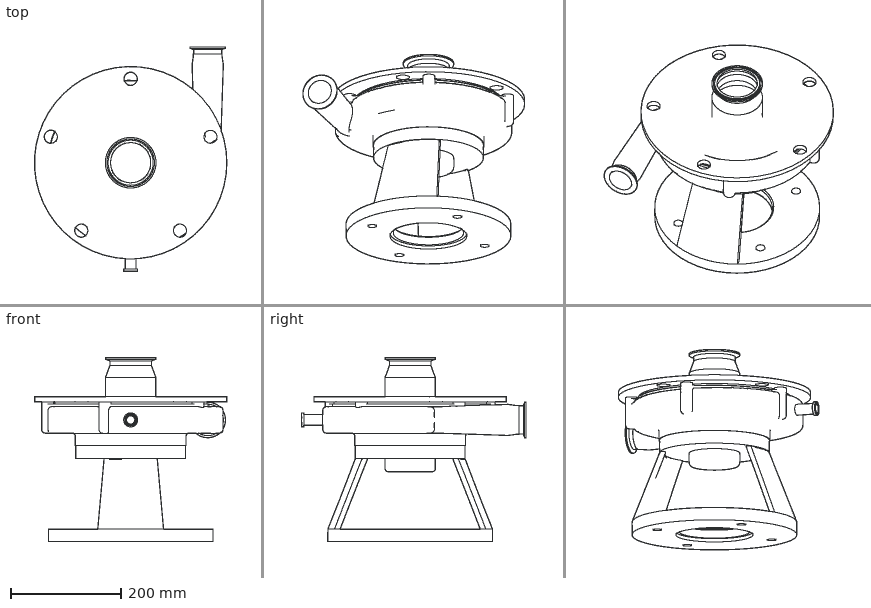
import cadquery as cq
import math

base_top = 23.0
motor_bottom = 127.0
bracket_top = 151.0
bearing_step = 174.5
volute_bottom = 197.0
volute_top = 245.5
rim_top = 250.5
flange_bottom = 254.0
flange_top = 263.5
overall_height = 334.5
volute_middle = (volute_bottom + volute_top) / 2

base_radius = 150.0
base_bore_radius = 64.0
base_bore_chamfer = 2.5
base_recess_radius = 70.0
base_recess_depth = 6.0
base_bolt_circle_radius = 115.0
base_bolt_diameter = 16.0
base_bolt_count = 4
base_bolt_first_angle = 45.0

leg_top_radius = 100.0
leg_shell_width = 11.0
leg_half_width_bottom = 60.0
leg_half_width_top = 48.5
leg_edge_fillet = 3.0

bearing_lower_radius = 100.0
bearing_upper_radius = 101.0
bearing_fillet = 5.0
hub_radius = 46.0
hub_fillet = 6.0

volute_start_radius = 149.0
volute_growth_per_degree = 0.1
spiral_start_angle = 170.0
spiral_end_angle = 375.0
spiral_steps = 12
volute_edge_fillet = 7.0
rim_bottom = 238.0
rim_radius = 141.0
neck_radius = 138.5

post_count = 5
post_first_angle = 36.0
post_circle_radius = 151.0
post_radius = 11.0
outer_post_angles = (108.0, 180.0, 252.0)
post_wall_fillet = 3.0
post_rim_fillet = 10.0
corner_tolerance = 0.5

flange_radius = 175.0
flange_bolt_circle_radius = 152.5
flange_bolt_diameter = 23.5
flange_bolt_count = 5
flange_bolt_first_angle = 18.0
dish_rim_radius = 131.5
dish_floor_radius = 92.0
dish_wall_angle = 46.5
dish_rim_fillet = 5.0
dish_floor_fillet = 14.5
dish_floor = 230.5
inlet_root_fillet = 20.0
inlet_root_top = dish_floor + inlet_root_fillet

inlet_radius = 46.0
inlet_cone_bottom = 298.5
inlet_cone_top = 320.0
inlet_neck_radius = 38.0
inlet_ferrule_thickness = 3.0
inlet_ferrule_flare = 3.0
inlet_groove_inner_radius = 41.0
inlet_groove_outer_radius = 43.2
inlet_groove_depth = 1.0
inlet_bore_radius = 36.5
inlet_bore_wide_radius = 43.0
inlet_bore_narrow_end = 306.0
inlet_bore_wide_start = 288.0

outlet_x = 140.0
outlet_end = 210.5
outlet_ferrule_radius = 32.5
outlet_ferrule_thickness = 2.5
outlet_ferrule_flare = 2.5
outlet_neck_radius = 26.4
outlet_neck_start = 193.0
outlet_neck_end = 198.0
outlet_collar_radius = 25.8
outlet_shoulder_end = 186.0
outlet_shoulder_radius = 27.4
outlet_pipe_end = 178.0
outlet_pipe_end_radius = 28.6
outlet_pipe_start_radius = 22.7
outlet_bore_radius = 22.0

drain_end = 197.5
drain_radius = 10.0
drain_ferrule_radius = 12.7
drain_ferrule_thickness = 4.5
drain_groove_inner_radius = 9.2
drain_groove_outer_radius = 10.6
drain_groove_depth = 0.6
drain_bore_radius = 7.5
drain_bore_end = 160.0
drain_root = 140.0


def disc(radius, bottom, top):
    return cq.Workplane("XY").workplane(offset=bottom).circle(radius).extrude(top - bottom)


def revolve_about_z(points):
    """Revolve an (r, z) outline about the pump axis."""
    return cq.Workplane("XZ").polyline(points).close().revolve(360, (0, 0, 0), (0, 1, 0))


def revolve_along_y(points, x):
    """Revolve an (r, y) outline about the Y-directed axis at x and the volute mid-height."""
    outline = [(x + r, y) for r, y in points]
    plane = cq.Workplane("XY").workplane(offset=volute_middle)
    return plane.polyline(outline).close().revolve(360, (x, 0, 0), (x, 1, 0))


def polar(radius, degrees):
    angle = math.radians(degrees)
    return (radius * math.cos(angle), radius * math.sin(angle))


def make_base():
    base = disc(base_radius, 0, base_top).cut(disc(base_bore_radius, 0, base_top))
    bore_edge = cq.selectors.RadiusNthSelector(0)
    base = base.faces(">Z").edges(bore_edge).chamfer(base_bore_chamfer)
    holes = (
        cq.Workplane("XY")
        .polarArray(base_bolt_circle_radius, base_bolt_first_angle, 360, base_bolt_count)
        .circle(base_bolt_diameter / 2)
        .extrude(base_top)
    )
    recess = disc(base_recess_radius, 0, base_recess_depth)
    return base.cut(holes).cut(recess)


def make_legs():
    inner_bottom = base_radius - leg_shell_width
    inner_top = leg_top_radius - leg_shell_width
    shell = revolve_about_z([
        (inner_bottom, base_top),
        (base_radius, base_top),
        (leg_top_radius, bracket_top),
        (inner_top, bracket_top),
    ])
    slice_outline = [
        (-leg_half_width_bottom, base_top),
        (leg_half_width_bottom, base_top),
        (leg_half_width_top, bracket_top),
        (-leg_half_width_top, bracket_top),
    ]
    slab = cq.Workplane("XZ").polyline(slice_outline).close().extrude(base_radius, both=True)
    legs = shell.intersect(slab)
    middle_radius = (inner_bottom + leg_top_radius) / 2
    inner_edges = [
        edge for edge in legs.edges("not(#Z)").vals()
        if math.hypot(edge.Center().x, edge.Center().y) < middle_radius
    ]
    return legs.newObject(inner_edges).fillet(leg_edge_fillet)


def make_bearing_housing():
    lower = disc(bearing_lower_radius, bracket_top, bearing_step)
    flare_center = (bearing_upper_radius + bearing_fillet, volute_bottom - bearing_fillet)
    flare_middle = (
        flare_center[0] - bearing_fillet * math.cos(math.pi / 4),
        flare_center[1] + bearing_fillet * math.sin(math.pi / 4),
    )
    upper = (
        cq.Workplane("XZ")
        .moveTo(0, bearing_step)
        .lineTo(bearing_upper_radius, bearing_step)
        .lineTo(bearing_upper_radius, flare_center[1])
        .threePointArc(flare_middle, (flare_center[0], volute_bottom))
        .lineTo(0, volute_bottom)
        .close()
        .revolve(360, (0, 0, 0), (0, 1, 0))
    )
    hub = disc(hub_radius, motor_bottom, bracket_top).faces("<Z").edges().fillet(hub_fillet)
    return lower.union(upper).union(hub)


def spiral_point(t):
    """Point on the growing part of the volute wall, t from 0 to 1."""
    sweep = t * (spiral_end_angle - spiral_start_angle)
    radius = volute_start_radius + volute_growth_per_degree * sweep
    return polar(radius, spiral_start_angle + sweep)


def post(angle, bottom, top):
    return disc(post_radius, bottom, top).translate(polar(post_circle_radius, angle) + (0,))


def blend_posts(body, angles, radius):
    """Fillet the upright corners where the posts at the given angles meet a body."""
    centers = [polar(post_circle_radius, angle) for angle in angles]
    corners = []
    for edge in body.edges("|Z").vals():
        spot = edge.Center()
        distances = [math.hypot(spot.x - x, spot.y - y) for x, y in centers]
        if min(distances) < post_radius + corner_tolerance:
            corners.append(edge)
    return body.newObject(corners).fillet(radius)


def make_volute():
    arc_start_angle = spiral_end_angle - 360
    arc_start = polar(volute_start_radius, arc_start_angle)
    arc_middle = polar(volute_start_radius, (arc_start_angle + spiral_start_angle) / 2)
    spiral = [spiral_point(i / spiral_steps) for i in range(spiral_steps + 1)]
    body = (
        cq.Workplane("XY")
        .workplane(offset=volute_bottom)
        .moveTo(*arc_start)
        .threePointArc(arc_middle, spiral[0])
        .spline(spiral[1:], includeCurrent=True)
        .close()
        .extrude(volute_top - volute_bottom)
    )
    for angle in outer_post_angles:
        body = body.union(post(angle, volute_bottom, volute_top))
    body = blend_posts(body, outer_post_angles, post_wall_fillet)
    body = body.faces("<Z").edges().fillet(volute_edge_fillet)
    return body.faces(">Z").edges().fillet(volute_edge_fillet)


def make_rim():
    """Raised rim on top of the volute, the posts standing on it and the neck under the flange."""
    angles = [post_first_angle + i * 360 / post_count for i in range(post_count)]
    rim = disc(rim_radius, rim_bottom, rim_top)
    for angle in angles:
        rim = rim.union(post(angle, rim_bottom, rim_top))
    rim = blend_posts(rim, angles, post_rim_fillet)
    rim = rim.union(disc(neck_radius, rim_bottom, flange_bottom))
    for angle in angles:
        rim = rim.union(post(angle, rim_bottom, flange_bottom))
    return rim


def make_flange():
    holes = (
        cq.Workplane("XY")
        .workplane(offset=flange_bottom)
        .polarArray(flange_bolt_circle_radius, flange_bolt_first_angle, 360, flange_bolt_count)
        .circle(flange_bolt_diameter / 2)
        .extrude(flange_top - flange_bottom)
    )
    return disc(flange_radius, flange_bottom, flange_top).cut(holes)


def make_dish_space():
    """Space removed above the cover: flat floor, sloped wall, rounded at floor, rim and nozzle root."""
    angle = math.radians(dish_wall_angle)
    sine = math.sin(angle)
    rise = 1 - math.cos(angle)
    half_sine = math.sin(angle / 2)
    half_rise = 1 - math.cos(angle / 2)
    floor_round_end = (
        dish_floor_radius + dish_floor_fillet * sine,
        dish_floor + dish_floor_fillet * rise,
    )
    floor_round_middle = (
        dish_floor_radius + dish_floor_fillet * half_sine,
        dish_floor + dish_floor_fillet * half_rise,
    )
    rim_round_start = (dish_rim_radius - dish_rim_fillet * sine, flange_top - dish_rim_fillet * rise)
    rim_round_middle = (
        dish_rim_radius - dish_rim_fillet * half_sine,
        flange_top - dish_rim_fillet * half_rise,
    )
    root_middle = (
        inlet_radius + inlet_root_fillet * (1 - math.cos(math.pi / 4)),
        dish_floor + inlet_root_fillet * (1 - math.sin(math.pi / 4)),
    )
    return (
        cq.Workplane("XZ")
        .moveTo(0, flange_top)
        .lineTo(0, inlet_root_top)
        .lineTo(inlet_radius, inlet_root_top)
        .threePointArc(root_middle, (inlet_radius + inlet_root_fillet, dish_floor))
        .lineTo(dish_floor_radius, dish_floor)
        .threePointArc(floor_round_middle, floor_round_end)
        .lineTo(*rim_round_start)
        .threePointArc(rim_round_middle, (dish_rim_radius, flange_top))
        .close()
        .revolve(360, (0, 0, 0), (0, 1, 0))
    )


def make_inlet():
    ferrule_bottom = overall_height - inlet_ferrule_thickness
    return revolve_about_z([
        (0, inlet_root_top),
        (inlet_radius, inlet_root_top),
        (inlet_radius, inlet_cone_bottom),
        (inlet_neck_radius, inlet_cone_top),
        (inlet_neck_radius, ferrule_bottom - inlet_ferrule_flare),
        (inlet_radius, ferrule_bottom),
        (inlet_radius, overall_height),
        (0, overall_height),
    ])


def make_inlet_bore():
    return revolve_about_z([
        (0, volute_middle),
        (inlet_bore_radius, volute_middle),
        (inlet_bore_wide_radius, inlet_bore_wide_start),
        (inlet_bore_radius, inlet_bore_narrow_end),
        (inlet_bore_radius, overall_height),
        (0, overall_height),
    ])


def make_inlet_groove():
    return revolve_about_z([
        (inlet_groove_inner_radius, overall_height - inlet_groove_depth),
        (inlet_groove_outer_radius, overall_height - inlet_groove_depth),
        (inlet_groove_outer_radius, overall_height),
        (inlet_groove_inner_radius, overall_height),
    ])


def make_outlet():
    ferrule_start = outlet_end - outlet_ferrule_thickness
    return revolve_along_y([
        (0, 0),
        (outlet_pipe_start_radius, 0),
        (outlet_pipe_end_radius, outlet_pipe_end),
        (outlet_shoulder_radius, outlet_shoulder_end),
        (outlet_neck_radius, outlet_neck_start),
        (outlet_neck_radius, outlet_neck_end),
        (outlet_collar_radius, outlet_neck_end),
        (outlet_collar_radius, ferrule_start - outlet_ferrule_flare),
        (outlet_ferrule_radius, ferrule_start),
        (outlet_ferrule_radius, outlet_end),
        (0, outlet_end),
    ], outlet_x)


def make_outlet_bore():
    return revolve_along_y([
        (0, 0),
        (outlet_bore_radius, 0),
        (outlet_bore_radius, outlet_end),
        (0, outlet_end),
    ], outlet_x)


def make_drain():
    ferrule_start = drain_end - drain_ferrule_thickness
    return revolve_along_y([
        (0, -drain_root),
        (drain_radius, -drain_root),
        (drain_radius, -ferrule_start),
        (drain_ferrule_radius, -ferrule_start),
        (drain_ferrule_radius, -drain_end),
        (0, -drain_end),
    ], 0)


def make_drain_bore():
    return revolve_along_y([
        (0, -drain_bore_end),
        (drain_bore_radius, -drain_bore_end),
        (drain_bore_radius, -drain_end),
        (0, -drain_end),
    ], 0)


def make_drain_groove():
    return revolve_along_y([
        (drain_groove_inner_radius, -drain_end),
        (drain_groove_outer_radius, -drain_end),
        (drain_groove_outer_radius, drain_groove_depth - drain_end),
        (drain_groove_inner_radius, drain_groove_depth - drain_end),
    ], 0)


result = (
    make_base()
    .union(make_legs())
    .union(make_bearing_housing())
    .union(make_volute())
    .union(make_rim())
    .union(make_flange())
    .cut(make_dish_space())
    .union(make_inlet())
    .union(make_outlet())
    .union(make_drain())
    .cut(make_inlet_bore())
    .cut(make_outlet_bore())
    .cut(make_drain_bore())
    .cut(make_inlet_groove())
    .cut(make_drain_groove())
)